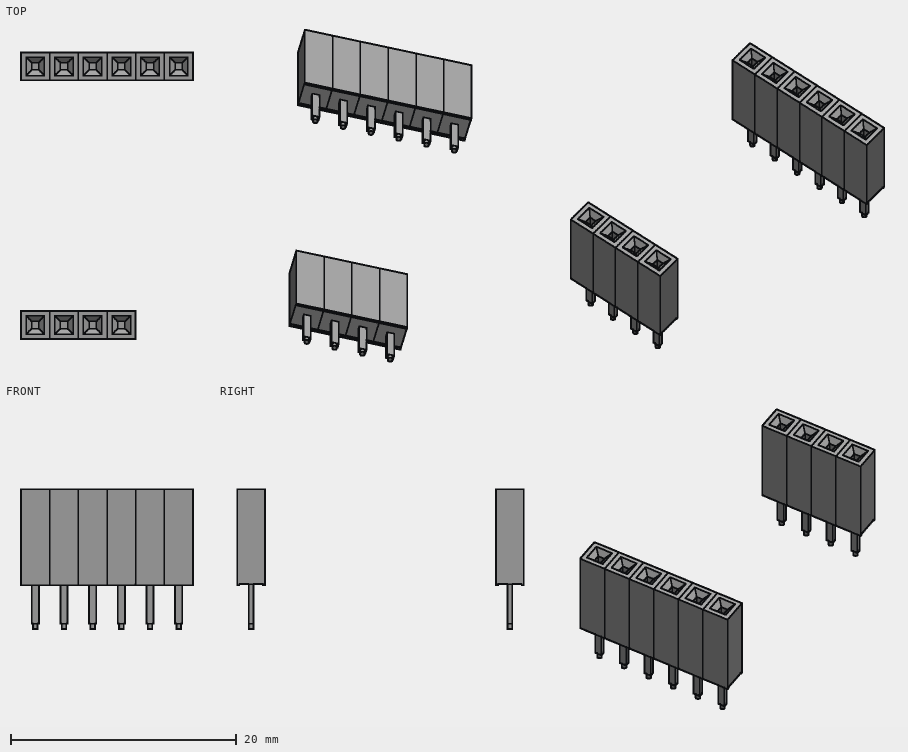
import cadquery as cq

pitch = 2.55
overall_depth = 25.4
back_row_count = 6
front_row_count = 4

block_depth = 2.5
block_height = 8.5
foot_height = 0.1
foot_width = 0.2

mouth_side = 1.63
bore_side = 0.64
lead_in_depth = 0.5
socket_depth = 5.08

pin_width = 0.65
pin_thickness = 0.43
tip_diameter = pin_thickness
overall_height = 12.4
tip_length = 0.48

pin_end_z = block_height - overall_height
shank_end_z = pin_end_z + tip_length
shank_length = foot_height - shank_end_z
left_column_x = -(back_row_count - 1) * pitch / 2
back_row_y = (overall_depth - block_depth) / 2
front_row_y = -back_row_y


def make_block():
    """Block with a shallow channel along X that leaves a foot on each side."""
    block = cq.Workplane("XY").rect(pitch, block_depth).extrude(block_height)
    channel = cq.Workplane("XY").rect(pitch, block_depth - 2 * foot_width).extrude(foot_height)
    return block.cut(channel)


def make_socket():
    """Void of the socket, open at the top of the block."""
    lead_in = (
        cq.Workplane("XY", origin=(0, 0, block_height))
        .rect(mouth_side, mouth_side)
        .workplane(offset=-lead_in_depth)
        .rect(bore_side, bore_side)
        .loft(combine=True)
    )
    bore_floor_z = block_height - socket_depth
    bore_length = socket_depth - lead_in_depth
    bore = (
        cq.Workplane("XY", origin=(0, 0, bore_floor_z))
        .rect(bore_side, bore_side)
        .extrude(bore_length)
    )
    return lead_in.union(bore)


def make_pin():
    """Rectangular shank that starts at the channel, ending in a round tip."""
    shank = (
        cq.Workplane("XY", origin=(0, 0, shank_end_z))
        .rect(pin_width, pin_thickness)
        .extrude(shank_length)
    )
    tip = (
        cq.Workplane("XY", origin=(0, 0, pin_end_z))
        .circle(tip_diameter / 2)
        .extrude(tip_length)
    )
    return shank.union(tip)


def make_contact():
    """One complete contact: block, socket and pin in a single solid."""
    return make_block().cut(make_socket()).union(make_pin())


def make_row(count, row_y):
    """Row of separate contacts, starting at the left column."""
    contact = make_contact()
    row = []
    for column in range(count):
        column_x = left_column_x + column * pitch
        row.append(contact.translate((column_x, row_y, 0)).val())
    return row


back_row = make_row(back_row_count, back_row_y)
front_row = make_row(front_row_count, front_row_y)

result = cq.Compound.makeCompound([*back_row, *front_row])